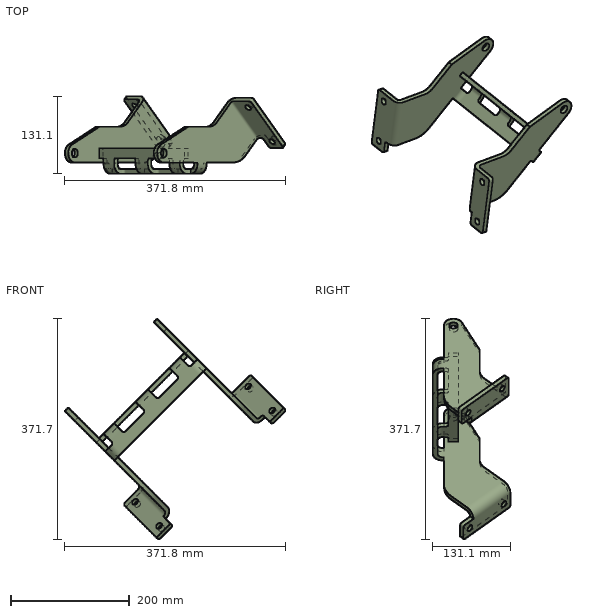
import cadquery as cq
import math


FINAL_TURN = 45

THICKNESS = 8.0
WIDE_RADIUS = THICKNESS
TIGHT_RADIUS = THICKNESS / 2

OUTER_FACE = 110.0
INNER_FACE = OUTER_FACE - THICKNESS
TIP_RADIUS = 16.0
PIVOT_HOLE_DIAMETER = 14.0
SHOULDER_X = 58.8
SHOULDER_HEIGHT = 60.5
LOWER_CORNER_RADIUS = 41
UPPER_CORNER_RADIUS = 23.8

FLANGE_ANGLE = 45
BEND_DISTANCE = 183.8
FLANGE_START = 41.3
BEND_END = 129.5
FLANGE_LENGTH = 112.5
FLANGE_END = FLANGE_START + FLANGE_LENGTH
FLANGE_CORNER_RADIUS = 4.0
FLANGE_HOLE_DIAMETER = 11.0
FLANGE_HOLE_END_INSET = 15.5
FLANGE_HOLE_TIP_INSET = 17.0
TIGHT_FLANGE_REACH = 44.5
WIDE_FLANGE_REACH = 41.5
NOTCH_CLEARANCE = 7.0
NOTCH_RADIUS = 3.7

CHANNEL_DROP = 19.0
CHANNEL_BEND = WIDE_RADIUS + THICKNESS
BEND_TOP = CHANNEL_BEND - CHANNEL_DROP
WALL_FACE = 57.3
CHANNEL_END = 102.3
WALL_TOP = 24.0
WALL_GAP = 0.5
WINDOW_TOP = 7.5
WINDOW_DEPTH = 23.0
WINDOW_END = WALL_FACE + WINDOW_DEPTH
WINDOW_RADIUS = 4.0
CENTER_TAB_HALF = 15.0
OUTER_TAB_START = 66.0
OUTER_TAB_END = 91.0
TAB_FILLET = 2.2


def block(x_range, y_range, z_range):
    """Box spanning the given ranges."""
    sizes = [end - start for start, end in (x_range, y_range, z_range)]
    corner = (x_range[0], y_range[0], z_range[0])
    return cq.Workplane("XY").box(*sizes, centered=False).translate(corner)


def quarter_bend(plane, center, side, radius, length):
    """Quarter ring from below its center round to the given side (+1 or -1)."""
    x, y = center
    outer = radius + THICKNESS
    diagonal = math.sqrt(0.5)
    return (
        cq.Workplane(plane)
        .moveTo(x, y - radius)
        .lineTo(x, y - outer)
        .threePointArc((x + side * outer * diagonal, y - outer * diagonal), (x + side * outer, y))
        .lineTo(x + side * radius, y)
        .threePointArc((x + side * radius * diagonal, y - radius * diagonal), (x, y - radius))
        .close()
        .extrude(length)
    )


def on_bend_line(along):
    """Plate point on the flange bend line at a distance along it."""
    turn = math.radians(FLANGE_ANGLE)
    x = BEND_DISTANCE * math.cos(turn) + along * math.sin(turn)
    y = BEND_DISTANCE * math.sin(turn) - along * math.cos(turn)
    return x, y


def side_plate():
    """Flat plate with the pivot hole and the short lug that leads into the channel."""
    shoulder_rise = SHOULDER_HEIGHT - TIP_RADIUS
    shoulder_distance = math.hypot(SHOULDER_X, shoulder_rise)
    slope = math.atan2(shoulder_rise, SHOULDER_X) - math.asin(TIP_RADIUS / shoulder_distance)
    tangent = (-TIP_RADIUS * math.sin(slope), TIP_RADIUS + TIP_RADIUS * math.cos(slope))
    bend_low = on_bend_line(BEND_END)
    bend_high = on_bend_line(FLANGE_START)
    lower_corner = (bend_low[0] - bend_low[1], 0)
    upper_corner = (bend_high[0] - bend_high[1] + SHOULDER_HEIGHT, SHOULDER_HEIGHT)
    mid_thickness = (INNER_FACE + OUTER_FACE) / 2

    plate = (
        cq.Workplane("XY", origin=(0, 0, INNER_FACE))
        .lineTo(*lower_corner)
        .lineTo(*bend_low)
        .lineTo(*bend_high)
        .lineTo(*upper_corner)
        .lineTo(SHOULDER_X, SHOULDER_HEIGHT)
        .lineTo(*tangent)
        .threePointArc((-TIP_RADIUS, TIP_RADIUS), (0, 0))
        .close()
        .extrude(THICKNESS)
    )
    lug = block((WINDOW_END, CHANNEL_END), (BEND_TOP, TIP_RADIUS), (INNER_FACE, OUTER_FACE))
    plate = plate.union(lug)

    rounded_corners = (
        (lower_corner, LOWER_CORNER_RADIUS),
        (upper_corner, UPPER_CORNER_RADIUS),
        ((WINDOW_END, 0), TAB_FILLET),
        ((CHANNEL_END, 0), TAB_FILLET),
    )
    for corner, radius in rounded_corners:
        edge = cq.selectors.NearestToPointSelector((*corner, mid_thickness))
        plate = plate.edges(edge).fillet(radius)

    pivot_hole = (
        cq.Workplane("XY", origin=(0, TIP_RADIUS, INNER_FACE))
        .circle(PIVOT_HOLE_DIAMETER / 2)
        .extrude(THICKNESS)
    )
    return plate.cut(pivot_hole)


def flange(radius, reach, notch_clearance):
    """Bent flange, built with its bend line along -Y and then turned onto the plate."""
    bend_plane = cq.Plane(origin=(0, -FLANGE_START, 0), xDir=(1, 0, 0), normal=(0, -1, 0))
    bend_center = (BEND_DISTANCE, OUTER_FACE + radius)
    bend = quarter_bend(bend_plane, bend_center, 1, radius, BEND_END - FLANGE_START)

    inner = BEND_DISTANCE + radius
    faces = (inner, inner + THICKNESS)
    bend_edge = OUTER_FACE + radius
    notch_edge = bend_edge + notch_clearance
    tip = OUTER_FACE + reach
    leaf = block(faces, (-FLANGE_END, -FLANGE_START), (notch_edge, tip))
    leaf = leaf.faces(">Z").edges("|X").fillet(FLANGE_CORNER_RADIUS)
    leaf = leaf.faces("<Z").edges("<Y").fillet(FLANGE_CORNER_RADIUS)

    if notch_clearance > 0:
        corner = NOTCH_RADIUS
        neck = block(faces, (-BEND_END, -FLANGE_START), (bend_edge, notch_edge))
        gusset = block(faces, (-BEND_END - corner, -BEND_END), (notch_edge - corner, notch_edge))
        rounding = (
            cq.Workplane("YZ", origin=(inner, -BEND_END - corner, notch_edge - corner))
            .circle(corner)
            .extrude(THICKNESS)
        )
        leaf = leaf.union(neck).union(gusset.cut(rounding))

    hole_spots = [
        (-FLANGE_START - FLANGE_HOLE_END_INSET, tip - FLANGE_HOLE_TIP_INSET),
        (-FLANGE_END + FLANGE_HOLE_END_INSET, tip - FLANGE_HOLE_TIP_INSET),
    ]
    holes = (
        cq.Workplane("YZ", origin=(inner, 0, 0))
        .pushPoints(hole_spots)
        .circle(FLANGE_HOLE_DIAMETER / 2)
        .extrude(THICKNESS)
    )
    return bend.union(leaf.cut(holes)).rotate((0, 0, 0), (0, 0, 1), FLANGE_ANGLE)


def side(radius, reach, notch_clearance):
    """Side plate with its flange and the bend that joins it to the channel floor."""
    plane = cq.Plane(origin=(CHANNEL_END, 0, 0), xDir=(0, 0, 1), normal=(-1, 0, 0))
    bend_center = (OUTER_FACE - CHANNEL_BEND, BEND_TOP)
    floor_bend = quarter_bend(plane, bend_center, 1, WIDE_RADIUS, CHANNEL_END - WINDOW_END)
    return side_plate().union(flange(radius, reach, notch_clearance)).union(floor_bend)


def window(z_start, z_end):
    """Cutter that opens the floor, the bend and the foot of the wall, with rounded ends."""
    cutter = block((0, WINDOW_END), (-2 * CHANNEL_DROP, WINDOW_TOP), (z_start, z_end))
    cutter = cutter.faces(">X").edges("|Y").fillet(WINDOW_RADIUS)
    return cutter.faces(">Y").edges("|X").fillet(WINDOW_RADIUS)


def channel():
    """Floor and upright wall, joined by three tabs left between the windows."""
    floor_half = OUTER_FACE - CHANNEL_BEND
    wall_half = INNER_FACE - WALL_GAP
    bend_x = WALL_FACE + CHANNEL_BEND
    floor_heights = (-CHANNEL_DROP, THICKNESS - CHANNEL_DROP)
    floor = block((bend_x, CHANNEL_END), floor_heights, (-floor_half, floor_half))
    wall_faces = (WALL_FACE, WALL_FACE + THICKNESS)
    wall = block(wall_faces, (BEND_TOP, WALL_TOP), (-wall_half, wall_half))
    bend_plane = cq.Plane(origin=(0, 0, -floor_half), xDir=(1, 0, 0), normal=(0, 0, 1))
    bend = quarter_bend(bend_plane, (bend_x, BEND_TOP), -1, WIDE_RADIUS, 2 * floor_half)

    body = floor.union(bend).union(wall)
    for z_start, z_end in ((CENTER_TAB_HALF, OUTER_TAB_START), (OUTER_TAB_END, OUTER_FACE)):
        body = body.cut(window(z_start, z_end))
        body = body.cut(window(-z_end, -z_start))
    return body


tight_side = side(TIGHT_RADIUS, TIGHT_FLANGE_REACH, NOTCH_CLEARANCE)
wide_side = side(WIDE_RADIUS, WIDE_FLANGE_REACH, 0).mirror("XY")
bracket = channel().union(tight_side).union(wide_side)
result = bracket.rotate((0, 0, 0), (0, 1, 0), FINAL_TURN)